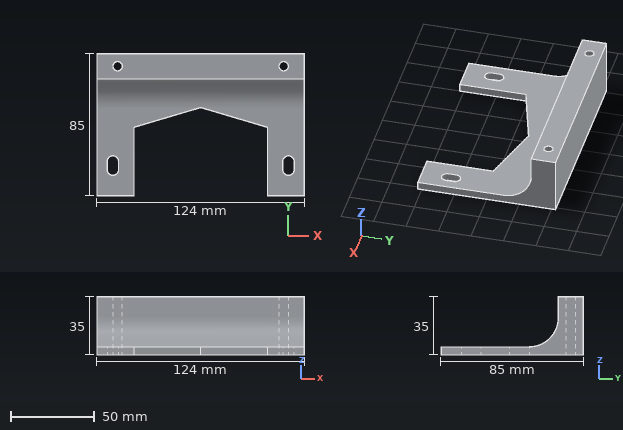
import cadquery as cq

length = 124.0
depth = 85.0
height = 35.0
plate_thickness = 5.0
wall_thickness = 15.0
cove_radius = 17.2

leg_width = 22.2
notch_shoulder_from_back = 44.0
notch_apex_from_back = wall_thickness + cove_radius

hole_diameter = 5.5
hole_from_end = 12.4

slot_width = 6.7
slot_length = 11.5
slot_from_end = 9.5
slot_from_front = 18.1

wall_front = depth - wall_thickness
cove_front = wall_front - cove_radius
cove_top = plate_thickness + cove_radius


def make_body():
    """L-shaped profile with a concave corner, extruded along X."""
    profile = (
        cq.Workplane("YZ")
        .moveTo(0, 0)
        .lineTo(depth, 0)
        .lineTo(depth, height)
        .lineTo(wall_front, height)
        .lineTo(wall_front, cove_top)
        .radiusArc((cove_front, plate_thickness), cove_radius)
        .lineTo(0, plate_thickness)
        .close()
    )
    return profile.extrude(length / 2, both=True)


def make_notch():
    """Opening between the legs with a shallow peaked inner end."""
    half_width = length / 2 - leg_width
    shoulder_y = depth - notch_shoulder_from_back
    apex_y = depth - notch_apex_from_back
    outline = [
        (-half_width, 0),
        (-half_width, shoulder_y),
        (0, apex_y),
        (half_width, shoulder_y),
        (half_width, 0),
    ]
    return cq.Workplane("XY").polyline(outline).close().extrude(plate_thickness)


def make_wall_holes():
    hole_x = length / 2 - hole_from_end
    hole_y = depth - wall_thickness / 2
    return (
        cq.Workplane("XY")
        .pushPoints([(-hole_x, hole_y), (hole_x, hole_y)])
        .circle(hole_diameter / 2)
        .extrude(height)
    )


def make_slots():
    slot_x = length / 2 - slot_from_end
    return (
        cq.Workplane("XY")
        .pushPoints([(-slot_x, slot_from_front), (slot_x, slot_from_front)])
        .slot2D(slot_length, slot_width, 90)
        .extrude(plate_thickness)
    )


result = make_body().cut(make_notch()).cut(make_wall_holes()).cut(make_slots())